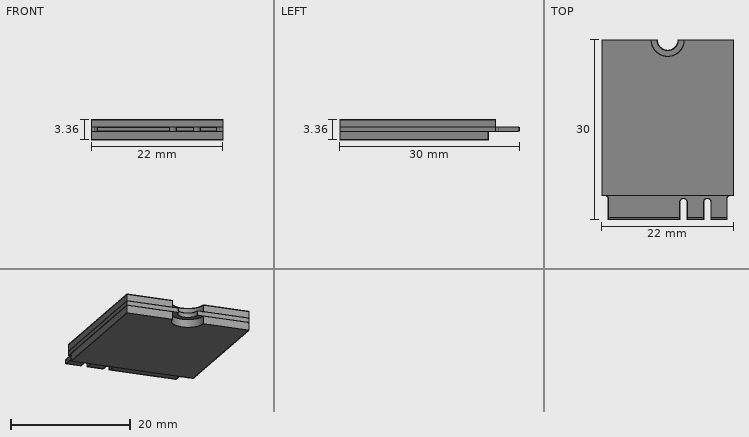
import cadquery as cq

card_width = 22.0
card_length = 30.0
board_thickness = 0.78

top_shield_height = 1.2
bottom_shield_height = 1.38
bottom_shield_setback = 1.2

tongue_length = 4.0
tongue_width = 19.85
tongue_root_radius = 0.5
bevel_length = 0.3
bevel_depth = 0.12

slot_width = 1.2
slot_depth = 3.5
slot_centers_x = (2.65, 6.63)

board_notch_radius = 1.75
shield_notch_radius = 2.75

shoulder_y = tongue_length
rear_y = card_length
bottom_shield_front_y = shoulder_y + bottom_shield_setback
half_card = card_width / 2
half_tongue = tongue_width / 2


def notched_slab(front_y, base_z, height, notch_radius):
    """Full-width slab running to the rear edge, with the mounting notch cut through it."""
    slab = (
        cq.Workplane("XY", origin=(0, front_y, base_z))
        .box(card_width, rear_y - front_y, height, centered=(True, False, False))
    )
    notch = cq.Workplane("XY", origin=(0, rear_y, base_z)).circle(notch_radius).extrude(height)
    return slab.cut(notch)


def make_tongue():
    """Connector tongue with concave root fillets and a front edge beveled on both faces."""
    root_y = shoulder_y - tongue_root_radius
    half_root = half_tongue + tongue_root_radius
    outline = (
        cq.Workplane("XY")
        .moveTo(-half_tongue, 0)
        .lineTo(half_tongue, 0)
        .lineTo(half_tongue, root_y)
        .radiusArc((half_root, shoulder_y), tongue_root_radius)
        .lineTo(-half_root, shoulder_y)
        .radiusArc((-half_tongue, root_y), tongue_root_radius)
        .close()
        .extrude(board_thickness)
    )
    profile = (
        cq.Workplane("YZ")
        .polyline([
            (0, bevel_depth),
            (bevel_length, 0),
            (shoulder_y, 0),
            (shoulder_y, board_thickness),
            (bevel_length, board_thickness),
            (0, board_thickness - bevel_depth),
        ])
        .close()
        .extrude(half_card, both=True)
    )
    return outline.intersect(profile)


def make_key_slot(center_x):
    """Cutter for one key slot with a round inner end."""
    slot_radius = slot_width / 2
    round_center_y = slot_depth - slot_radius
    straight = (
        cq.Workplane("XY", origin=(center_x, 0, 0))
        .box(slot_width, round_center_y, board_thickness, centered=(True, False, False))
    )
    round_end = (
        cq.Workplane("XY", origin=(center_x, round_center_y, 0))
        .circle(slot_radius)
        .extrude(board_thickness)
    )
    return straight.union(round_end)


def make_board():
    """Circuit board: notched slab plus connector tongue with its key slots."""
    board = notched_slab(shoulder_y, 0, board_thickness, board_notch_radius).union(make_tongue())
    for center_x in slot_centers_x:
        board = board.cut(make_key_slot(center_x))
    return board


board = make_board()
top_shield = notched_slab(shoulder_y, board_thickness, top_shield_height, shield_notch_radius)
bottom_shield = notched_slab(
    bottom_shield_front_y, -bottom_shield_height, bottom_shield_height, shield_notch_radius
)

bodies = (board, top_shield, bottom_shield)
result = cq.Compound.makeCompound([body.solids().val() for body in bodies])